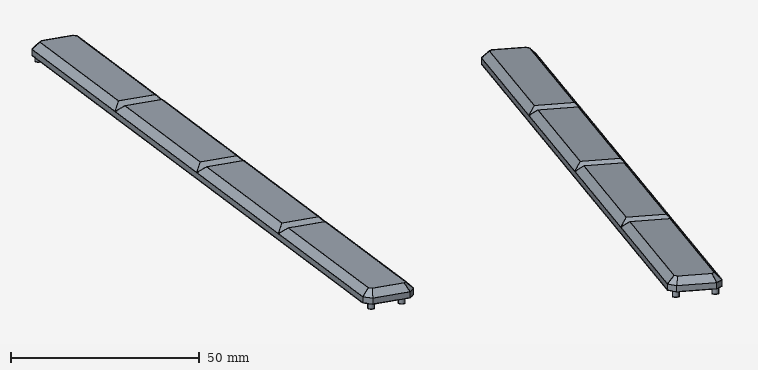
import cadquery as cq

length = 207.7
width = 15.0
height = 5.6

peg_height = 1.9
bevel = 2.0
corner = 2.0
bar_height = height - peg_height

groove_count = 3
groove_pitch = 50.3
groove_middle_x = -0.5

peg_diameter = 1.9
left_peg_x = -101.8
right_peg_x = 101.8
left_peg_ys = (-5.6, 5.2)
right_peg_ys = (-5.0, 4.0)


def make_bar():
    """Bar resting on Z = 0, with bevelled corners and top edges."""
    bar = cq.Workplane("XY").box(length, width, bar_height, centered=(True, True, False))
    bar = bar.edges("|Z").chamfer(corner)
    return bar.faces(">Z").edges().chamfer(bevel)


def make_groove(x):
    """45 degree V cutter across the bar, as deep as the top bevel."""
    outline = [
        (x - bevel, bar_height),
        (x, bar_height - bevel),
        (x + bevel, bar_height),
    ]
    return cq.Workplane("XZ").polyline(outline).close().extrude(width / 2, both=True)


def make_pegs(x, ys):
    """Round pegs hanging below one end of the bar."""
    centers = [(x, y) for y in ys]
    return cq.Workplane("XY").pushPoints(centers).circle(peg_diameter / 2).extrude(-peg_height)


result = make_bar()
for index in range(groove_count):
    groove_x = groove_middle_x + (index - (groove_count - 1) / 2) * groove_pitch
    result = result.cut(make_groove(groove_x))
result = result.union(make_pegs(left_peg_x, left_peg_ys))
result = result.union(make_pegs(right_peg_x, right_peg_ys))